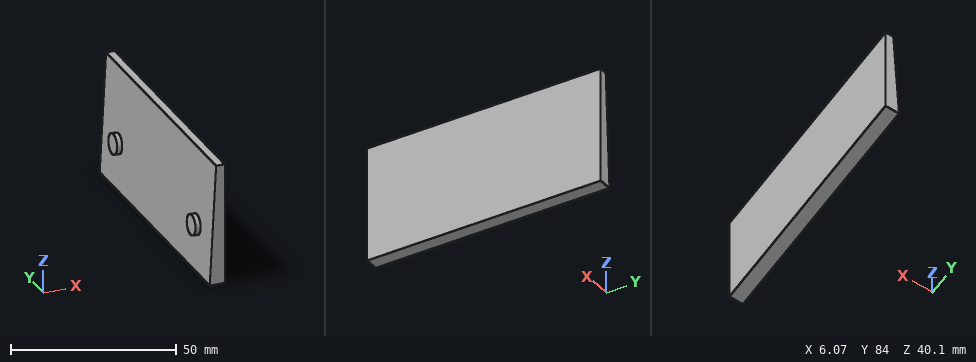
import cadquery as cq
import math

plate_length = 84.0
plate_height = 40.15
bottom_thickness = 5.0
lean_angle = 3.0
top_thickness = bottom_thickness - plate_height * math.tan(math.radians(lean_angle))

peg_diameter = 6.6
peg_length = 1.7
peg_spacing = 59.7
peg_height = 15.2
peg_root = 0.4


def make_plate():
    """Wedge section in XZ, extruded symmetrically along Y; back face on X = 0."""
    outline = [
        (0, 0),
        (-bottom_thickness, 0),
        (-top_thickness, plate_height),
        (0, plate_height),
    ]
    return cq.Workplane("XZ").polyline(outline).close().extrude(plate_length / 2, both=True)


def make_peg(y):
    """Cylinder along the outward normal of the leaning face."""
    lean = math.radians(lean_angle)
    face_x = -bottom_thickness + peg_height * math.tan(lean)
    outward = cq.Vector(-math.cos(lean), 0, math.sin(lean))
    start = cq.Vector(face_x, y, peg_height) - outward * peg_root
    return cq.Solid.makeCylinder(peg_diameter / 2, peg_length + peg_root, start, outward)


result = make_plate()
for side in (-1, 1):
    result = result.union(make_peg(side * peg_spacing / 2))